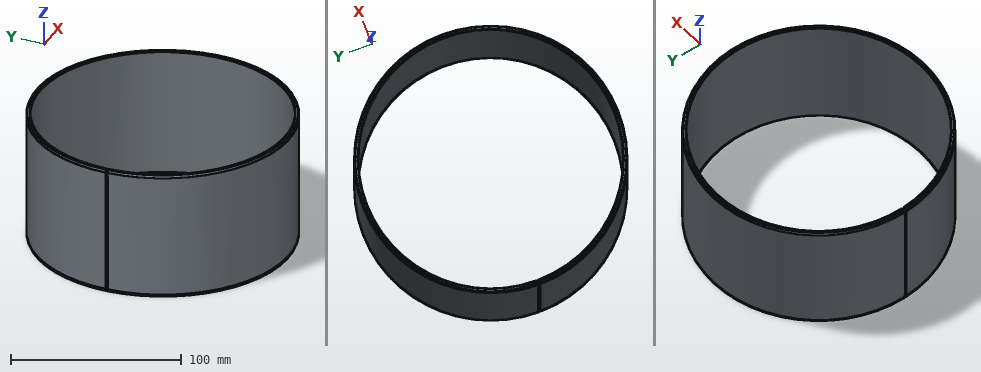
import cadquery as cq

outer_diameter = 160.0
height = 80.0
wall = 2.5
bevel_height = 1.6
bevel_depth = 0.6
inner_bevel = 0.5
slit_width = 1.3

outer_radius = outer_diameter / 2
inner_radius = outer_radius - wall
bevel_radius = outer_radius - bevel_depth


def make_ring():
    """Thin sleeve with tapered outer rims and small chamfers on the inner rims."""
    wall_profile = [
        (inner_radius, inner_bevel),
        (inner_radius + inner_bevel, 0),
        (bevel_radius, 0),
        (outer_radius, bevel_height),
        (outer_radius, height - bevel_height),
        (bevel_radius, height),
        (inner_radius + inner_bevel, height),
        (inner_radius, height - inner_bevel),
    ]
    return cq.Workplane("XZ").polyline(wall_profile).close().revolve(360, (0, 0), (0, 1))


def make_slit():
    """Full-height cutter through the -X wall, with one face on the XZ plane."""
    return cq.Workplane("XY").box(outer_diameter, slit_width, height, centered=False).translate(
        (-outer_diameter, 0, 0)
    )


result = make_ring().cut(make_slit())